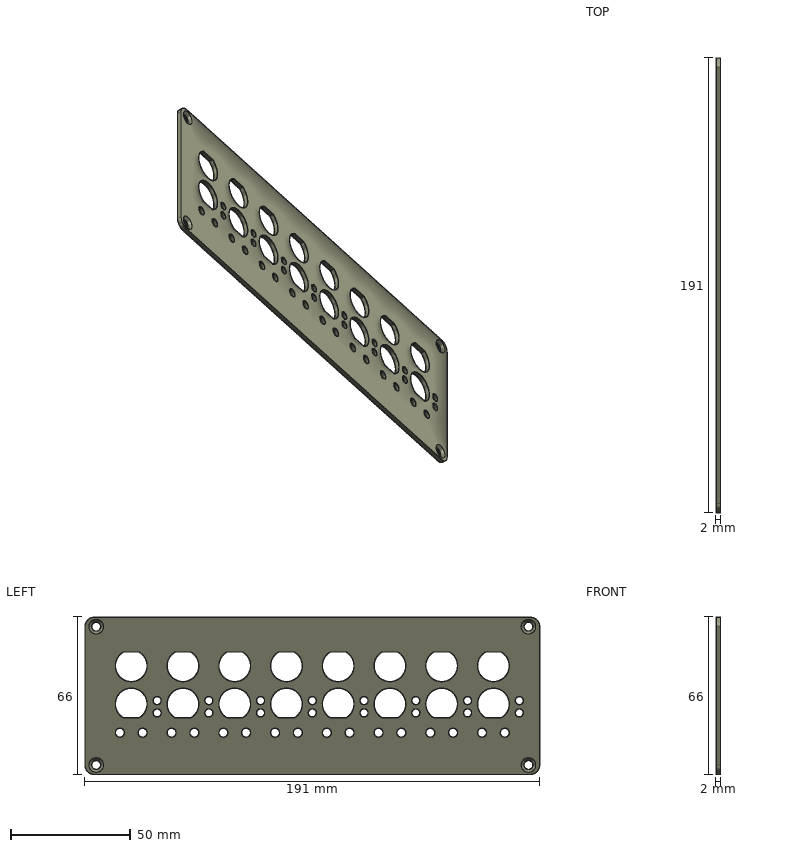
import cadquery as cq
import math

thickness = 2.0
length = 191.0
height = 66.0
corner_radius = 4.0

screw_inset_y = 4.8
screw_inset_z = 4.0
screw_diameter = 3.6
countersink_diameter = 6.1
countersink_angle = 90

edge_break = 0.11
edge_break_angle = 45

column_count = 8
column_span = 152.0
column_pitch = column_span / (column_count - 1)

opening_diameter = 13.2
opening_flat_offset = 5.7
upper_row_z = 12.6
lower_row_z = -3.5

stacked_diameter = 3.2
stacked_spacing = 5.2
stacked_center_z = -4.5

bottom_diameter = 3.6
bottom_spacing = 9.5
bottom_row_z = -15.5

column_ys = [i * column_pitch - column_span / 2 for i in range(column_count)]


def face_plane(y=0, z=0):
    """Workplane on the -X face centred at (y, z), local axes along -Y and +Z, facing outward."""
    return cq.Workplane(cq.Plane(origin=(-thickness / 2, y, z), xDir=(0, -1, 0), normal=(-1, 0, 0)))


def round_outline(y, z, radius):
    """Circle on the -X face."""
    return face_plane(y, z).circle(radius)


def flatted_outline(y, z, radius, flat_offset, flat_side):
    """Circle on the -X face with a flat on top (flat_side=1) or below (flat_side=-1)."""
    flat_z = flat_side * flat_offset
    half_flat = math.sqrt(radius**2 - flat_offset**2)
    return (
        face_plane(y, z)
        .moveTo(-half_flat, flat_z)
        .threePointArc((0, -flat_side * radius), (half_flat, flat_z))
        .close()
    )


def broken_edge_cutter(bore, mouth):
    """Through cutter from the bore outline, with a bevel narrowing inward from the mouth outline."""
    return bore.extrude(-thickness).union(mouth.extrude(-edge_break, taper=edge_break_angle))


def small_hole(y, z, diameter):
    """Cutter for a round hole with a broken edge."""
    radius = diameter / 2
    return broken_edge_cutter(round_outline(y, z, radius), round_outline(y, z, radius + edge_break))


def flatted_opening(y, z, flat_side):
    """Cutter for a large flatted opening with a broken edge."""
    radius = opening_diameter / 2
    bore = flatted_outline(y, z, radius, opening_flat_offset, flat_side)
    mouth = flatted_outline(y, z, radius + edge_break, opening_flat_offset + edge_break, flat_side)
    return broken_edge_cutter(bore, mouth)


plate = cq.Workplane("XY").box(thickness, length, height).edges("|X").fillet(corner_radius)

for column_y in column_ys:
    plate = plate.cut(flatted_opening(column_y, upper_row_z, 1))
    plate = plate.cut(flatted_opening(column_y, lower_row_z, -1))
    for side in (-1, 1):
        stacked_y = column_y - column_pitch / 2
        stacked_z = stacked_center_z + side * stacked_spacing / 2
        plate = plate.cut(small_hole(stacked_y, stacked_z, stacked_diameter))
        bottom_y = column_y + side * bottom_spacing / 2
        plate = plate.cut(small_hole(bottom_y, bottom_row_z, bottom_diameter))

result = (
    plate.copyWorkplane(face_plane())
    .rect(length - 2 * screw_inset_y, height - 2 * screw_inset_z, forConstruction=True)
    .vertices()
    .cskHole(screw_diameter, countersink_diameter, countersink_angle)
)